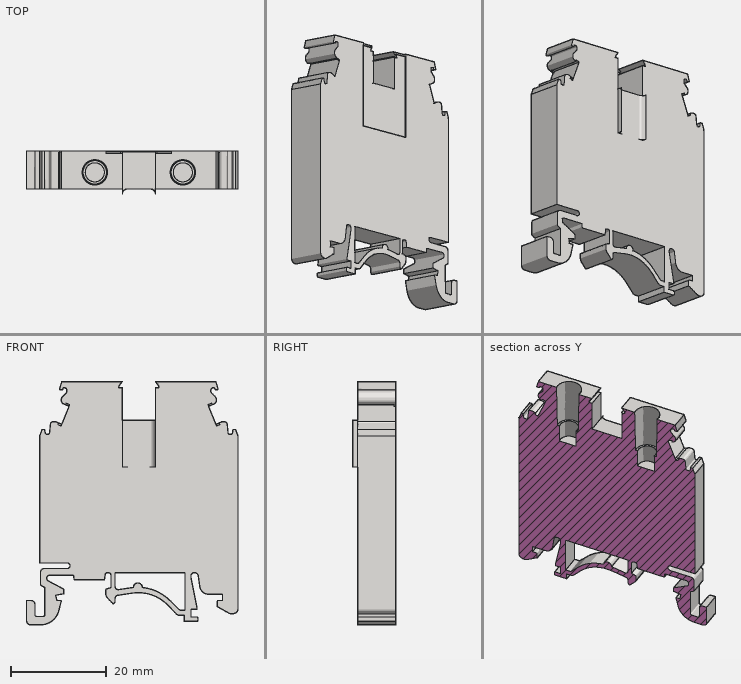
import math

import cadquery as cq


thickness = 8.0
half_width = 20.75
height = 50.85
shoulder_z = 39.5

slot_half_width = 3.45
slot_floor_z = 42.8

hole_x = 9.2
hole_y = 3.5
hole_mouth_diameter = 5.3
hole_floor_diameter = 4.9
hole_depth = 10.0
screw_diameter = 4.0
screw_depth = 4.0

web_thickness = 0.35
pocket_drop = 0.38
upper_pocket_corner = (14.6, 45.7)
upper_pocket_length = 0.8
lower_pocket_corner = (16.12, 41.95)
lower_pocket_length = 0.7
pocket_tilt = math.atan2(
    lower_pocket_corner[0] - upper_pocket_corner[0], upper_pocket_corner[1] - lower_pocket_corner[1]
)

fin_width = 1.1
fin_reach = 1.0
fin_bottom_z = 33.0

recess_half_width = 6.85
recess_upper_depth = 0.55
recess_upper_height = 0.5
recess_lower_depth = 0.2
recess_bottom_z = fin_bottom_z

hook_left_x = -23.5
hook_stem_x = -19.68
arm_left_x = -20.59
arm_slot_top_z = 12.93
arm_slot_bottom_z = 11.84
arm_slot_end_x = -14.4
arm_underside_z = 10.38
body_underside_z = 9.45
relief_top_z = 10.9
rail_ledge_z = 5.15
cradle_left_x = -4.93
cradle_wall_x = 9.64
cradle_bump_radius = 0.95
cradle_bump_center = (-0.2, 7.85)


def unit(start, end):
    """Unit direction from one point to another."""
    length = math.dist(start, end)
    return ((end[0] - start[0]) / length, (end[1] - start[1]) / length)


def along(point, direction, distance):
    return (point[0] + direction[0] * distance, point[1] + direction[1] * distance)


def corner_points(before, corner, after, radius):
    """Start, middle and end of the arc that rounds a corner."""
    to_before = unit(corner, before)
    to_after = unit(corner, after)
    cosine = to_before[0] * to_after[0] + to_before[1] * to_after[1]
    half_angle = math.acos(cosine) / 2
    setback = radius / math.tan(half_angle)
    middle_distance = radius / math.sin(half_angle) - radius
    bisector = unit((0, 0), (to_before[0] + to_after[0], to_before[1] + to_after[1]))
    return (
        along(corner, to_before, setback),
        along(corner, bisector, middle_distance),
        along(corner, to_after, setback),
    )


def extrude_outline(corners, y_start, y_end):
    """Extrude a closed outline of (x, z) or (x, z, rounding radius) corners along Y."""
    path = cq.Workplane("XZ", origin=(0, y_start, 0)).moveTo(
        (corners[-1][0] + corners[0][0]) / 2, (corners[-1][1] + corners[0][1]) / 2
    )
    for index, corner in enumerate(corners):
        point = corner[:2]
        if len(corner) == 2:
            path = path.lineTo(*point)
            continue
        before = corners[index - 1][:2]
        after = corners[(index + 1) % len(corners)][:2]
        start, middle, end = corner_points(before, point, after, corner[2])
        path = path.lineTo(*start).threePointArc(middle, end)
    return path.close().extrude(y_start - y_end)


def box(x_range, y_range, z_range):
    size = [high - low for low, high in (x_range, y_range, z_range)]
    corner = (x_range[0], y_range[0], z_range[0])
    return cq.Workplane("XY").box(*size, centered=False).translate(corner)


def with_mirror(shape):
    """A right-hand feature together with its twin on the left."""
    return shape.union(shape.mirror("YZ"))


def right_tower():
    """Right half of the upper body, from the slot middle out to the flank."""
    tip_notch = [
        (slot_half_width, slot_floor_z),
        (slot_half_width, 49.6),
        (4.2, 49.6),
        (4.1, 50.0),
        (slot_half_width, height),
    ]
    top_lip_and_groove = [
        (16.12, height),
        (16.65, 49.15, 0.2),
        (15.93, 49.15, 0.15),
        (15.8, 49.55, 0.1),
        (15.08, 49.55, 0.45),
        (15.08, 48.6, 0.45),
        (16.24, 47.45, 0.95),
        (16.24, 46.4, 0.95),
    ]
    pocket_wall = [upper_pocket_corner, lower_pocket_corner]
    shoulder_bump_and_groove = [
        (17.35, 42.5, 0.3),
        (18.45, 42.5, 0.6),
        (18.7, 39.9, 0.2),
        (19.5, 39.9, 0.25),
        (19.67, 40.87),
        (20.23, 40.87),
        (half_width, shoulder_z),
    ]
    middle = [(0, shoulder_z), (0, slot_floor_z)]
    outline = middle + tip_notch + top_lip_and_groove + pocket_wall + shoulder_bump_and_groove
    return extrude_outline(outline, 0, thickness)


def pocket_undercut(corner, length, wall_side):
    """Deepening of one pocket end; wall_side is +1 for the upper end and -1 for the lower end."""
    outward = (math.cos(pocket_tilt), math.sin(pocket_tilt))
    up_the_wall = (-wall_side * outward[1], wall_side * outward[0])
    outer = along(corner, outward, length)
    outline = [
        corner,
        outer,
        along(outer, up_the_wall, pocket_drop),
        along(corner, up_the_wall, pocket_drop),
    ]
    return extrude_outline(outline, 0, thickness - web_thickness)


def lower_body():
    """Main block with the rail hook on the left, the cradle in the middle and the foot on the right."""
    flexible_arm = [
        (-half_width, shoulder_z),
        (-half_width, arm_slot_top_z),
        (arm_slot_end_x, arm_slot_top_z, 0.54),
        (arm_slot_end_x, arm_slot_bottom_z, 0.54),
        (arm_left_x, arm_slot_bottom_z, 0.9),
        (arm_left_x, 8.3, 0.4),
        (hook_stem_x, 7.83),
    ]
    hook = [
        (hook_stem_x, 1.82, 0.25),
        (-21.68, 1.82, 0.25),
        (-21.68, rail_ledge_z, 0.9),
        (hook_left_x, rail_ledge_z),
        (hook_left_x, 0, 0.95),
        (-17.45, 0, 4.0),
        (-16.15, rail_ledge_z, 0.2),
        (-17.1, rail_ledge_z),
        (-17.35, 6.2),
        (-15.65, 6.5),
        (-15.65, 7.5, 0.3),
        (-19.2, 9.37, 0.4),
    ]
    arm_underside = [
        (-19.2, arm_underside_z, 0.55),
        (-13.67, arm_underside_z, 0.15),
        (-13.55, body_underside_z, 0.15),
        (-7.15, body_underside_z),
    ]
    left_relief = [
        (-6.95, relief_top_z, 0.4),
        (-5.84, relief_top_z, 0.5),
        (-5.84, 7.83),
        (-6.93, 7.5, 0.3),
        (-6.93, 6.05, 1.3),
        (-5.3, 4.3, 0.2),
        (cradle_left_x, 4.85, 0.2),
    ]
    cradle_underside = [
        (cradle_left_x, 6.1, 0.6),
        (3.06, 7.3, 8.6),
        (8.1, 2.0, 1.0),
        (9.46, 2.0),
        (9.46, 0.73),
        (12.37, 0.73, 0.3),
        (12.37, 1.7, 0.3),
        (10.92, 1.7),
        (10.92, 3.25),
        (12.25, 3.25, 0.2),
    ]
    foot = [
        (10.92, 9.9, 0.6),
        (10.92, relief_top_z, 0.6),
        (12.3, relief_top_z, 0.65),
        (12.95, 6.4, 1.9),
        (17.47, 6.4),
        (17.47, rail_ledge_z),
        (16.38, rail_ledge_z, 0.25),
        (16.38, 3.82),
        (19.4, 2.13, 1.4),
        (half_width, 2.75, 1.0),
        (half_width, shoulder_z),
    ]
    outline = flexible_arm + hook + arm_underside + left_relief + cradle_underside + foot
    return extrude_outline(outline, 0, thickness)


def cradle_window():
    """Opening between the body and the curved cradle, with a rounded rib left on the cradle."""
    outline = [
        (cradle_left_x, relief_top_z),
        (cradle_wall_x, relief_top_z),
        (cradle_wall_x, 3.13),
        (8.51, 3.13, 0.5),
        (3.12, 8.52, 9.5),
        (cradle_left_x, 7.31, 0.6),
    ]
    bump_x, bump_z = cradle_bump_center
    bump = (
        cq.Workplane("XZ", origin=(bump_x, 0, bump_z))
        .circle(cradle_bump_radius)
        .extrude(-thickness)
    )
    return extrude_outline(outline, 0, thickness).cut(bump)


def right_fin():
    """Pointed fin beside the slot, its inner side sweeping tangentially into the front face."""
    sweep_radius = (fin_width**2 + fin_reach**2) / (2 * fin_reach)
    return (
        cq.Workplane("XY", origin=(0, 0, fin_bottom_z))
        .moveTo(slot_half_width, -fin_reach)
        .lineTo(slot_half_width, 0)
        .lineTo(slot_half_width - fin_width, 0)
        .radiusArc((slot_half_width, -fin_reach), sweep_radius)
        .close()
        .extrude(slot_floor_z - fin_bottom_z)
    )


def right_screw_hole():
    """Slightly tapered hole from the tower top with a narrower screw hole in its floor."""
    mouth_radius = hole_mouth_diameter / 2
    floor_radius = hole_floor_diameter / 2
    screw_radius = screw_diameter / 2
    floor_z = height - hole_depth
    bottom_z = floor_z - screw_depth
    return (
        cq.Workplane("XZ")
        .polyline(
            [
                (0, height),
                (mouth_radius, height),
                (floor_radius, floor_z),
                (screw_radius, floor_z),
                (screw_radius, bottom_z),
                (0, bottom_z),
            ]
        )
        .close()
        .revolve(360, (0, 0, 0), (0, 1, 0))
        .translate((hole_x, hole_y, 0))
    )


def back_recess():
    """Shallow recess in the back face with a deeper step along the top."""
    x_range = (-recess_half_width, recess_half_width)
    shallow = box(x_range, (thickness - recess_lower_depth, thickness), (recess_bottom_z, height))
    deep = box(x_range, (thickness - recess_upper_depth, thickness), (height - recess_upper_height, height))
    return shallow.union(deep)


undercuts = pocket_undercut(upper_pocket_corner, upper_pocket_length, 1).union(
    pocket_undercut(lower_pocket_corner, lower_pocket_length, -1)
)

result = (
    lower_body()
    .union(with_mirror(right_tower().cut(undercuts)))
    .cut(cradle_window())
    .cut(with_mirror(right_screw_hole()))
    .cut(back_recess())
    .union(with_mirror(right_fin()))
)